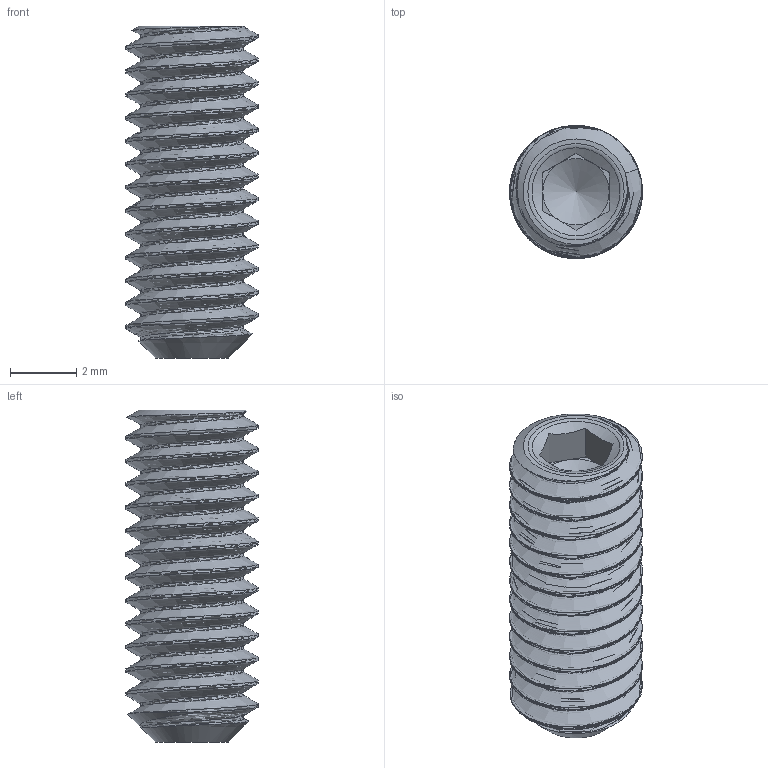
import cadquery as cq
import math

length = 10.0
major_radius = 2.0
pitch = 0.7

flank_angle = math.radians(30)
root_radius = 1.55
crest_flat = pitch / 8
crest_height_at_x_axis = 0.58
flank_spans = 12
spare_length = 0.5
spare_radius = 0.2

point_radius = 1.1
point_angle = math.radians(45)
top_face_radius = 1.59
top_chamfer_angle = math.radians(30)

hex_sides = 6
hex_across_flats = 2.0
hex_depth = 1.2
drill_tip_angle = math.radians(30)
countersink_radius = 1.325
countersink_angle = math.radians(30)
rim_round = 0.25


def revolve_outline(outline):
    """Solid of revolution about Z from (radius, height) points."""
    return cq.Workplane("XZ").polyline(outline).close().revolve(360, (0, 0), (0, 1))


def make_blank():
    """Unthreaded body with the point and the top chamfer, a little wider than the crests."""
    blank_radius = major_radius + spare_radius
    point_height = (blank_radius - point_radius) * math.tan(point_angle)
    chamfer_height = (blank_radius - top_face_radius) * math.tan(top_chamfer_angle)
    return revolve_outline([
        (0, 0),
        (point_radius, 0),
        (blank_radius, point_height),
        (blank_radius, length - chamfer_height),
        (top_face_radius, length),
        (0, length),
    ])


def make_threaded_rod():
    """Threaded rod with plain ends, made by twisting the constant cross-section of the thread."""
    radians_per_height = 2 * math.pi / pitch
    crest_half_turn = crest_flat / 2 * radians_per_height
    flank_height = (major_radius - root_radius) * math.tan(flank_angle)
    flank_turn = flank_height * radians_per_height

    def flank_point(fraction, side):
        """Point on the spiral that a straight flank leaves in the cross-section, from crest to root."""
        radius = major_radius + fraction * (root_radius - major_radius)
        angle = side * (crest_half_turn + fraction * flank_turn)
        return (radius * math.cos(angle), radius * math.sin(angle))

    fractions = [i / flank_spans for i in range(flank_spans + 1)]
    crest_to_root = [flank_point(fraction, 1) for fraction in fractions]
    root_to_crest = [flank_point(1 - fraction, -1) for fraction in fractions]

    start_height = -spare_length
    rod_length = length + 2 * spare_length
    start_angle = 360 * (start_height - crest_height_at_x_axis) / pitch
    rod = (
        cq.Workplane("XY", origin=(0, 0, start_height))
        .moveTo(*root_to_crest[-1])
        .threePointArc((major_radius, 0), crest_to_root[0])
        .spline(crest_to_root[1:], includeCurrent=True)
        .threePointArc((-root_radius, 0), root_to_crest[0])
        .spline(root_to_crest[1:], includeCurrent=True)
        .close()
        .twistExtrude(rod_length, 360 * rod_length / pitch)
    )
    return rod.rotate((0, 0, 0), (0, 0, 1), start_angle)


def make_countersink():
    """Conical socket entry whose rim is rounded into the top face."""
    tangent_length = rim_round * math.tan(countersink_angle / 2)
    sharp_radius = countersink_radius + tangent_length * math.cos(countersink_angle)
    cone_start_height = length - tangent_length * math.sin(countersink_angle)
    tip_height = length - sharp_radius * math.tan(countersink_angle)
    round_start_radius = sharp_radius + tangent_length
    round_middle = (
        round_start_radius - rim_round * math.sin(countersink_angle / 2),
        length - rim_round * (1 - math.cos(countersink_angle / 2)),
    )
    return (
        cq.Workplane("XZ")
        .moveTo(0, tip_height)
        .lineTo(countersink_radius, cone_start_height)
        .threePointArc(round_middle, (round_start_radius, length))
        .lineTo(0, length)
        .close()
        .revolve(360, (0, 0), (0, 1))
    )


def make_socket():
    """Hexagon socket with corners on the Y axis, a countersunk entry and a conical bottom."""
    hex_across_corners = hex_across_flats / math.cos(math.pi / hex_sides)
    floor_height = length - hex_depth
    drill_radius = hex_across_flats / 2
    hexagon = (
        cq.Workplane("XY", origin=(0, 0, floor_height))
        .transformed(rotate=(0, 0, 90))
        .polygon(hex_sides, hex_across_corners)
        .extrude(hex_depth)
    )
    drill_tip = revolve_outline([
        (0, floor_height - drill_radius * math.tan(drill_tip_angle)),
        (drill_radius, floor_height),
        (0, floor_height),
    ])
    return hexagon.union(make_countersink()).union(drill_tip)


def open_socket(body, socket):
    """Replace the top face by a ring and the socket walls, which spares a slow cut through the thread."""
    top_face = body.faces(">Z").val()
    rim = socket.faces(">Z").val().outerWire()
    ring = cq.Face.makeFromWires(top_face.outerWire(), [rim])
    outer_faces = [face for face in body.faces().vals() if not face.isSame(top_face)]
    socket_walls = socket.faces("not >Z").vals()
    shell = cq.Shell.makeShell(outer_faces + [ring] + socket_walls)
    return cq.Workplane(cq.Solid.makeSolid(shell))


threaded_body = make_threaded_rod().intersect(make_blank())
result = open_socket(threaded_body, make_socket())